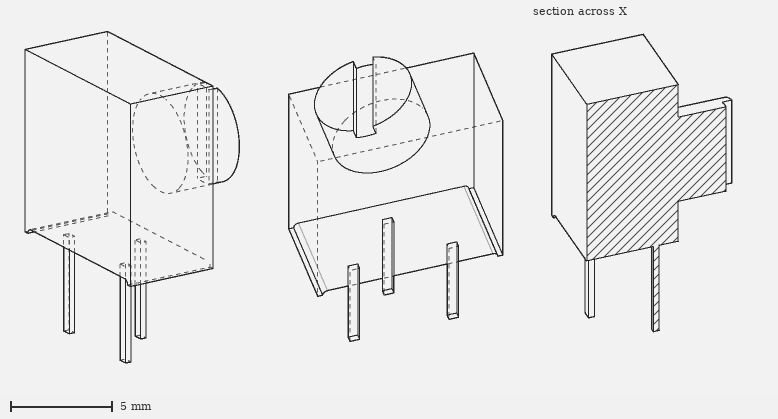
import cadquery as cq

body_side = 9.52
body_depth = 4.83
foot_width = 0.26
foot_fillet_diameter = 0.5
foot_fillet_radius = foot_fillet_diameter / 2
foot_height = foot_fillet_radius

total_depth = 7.85
knob_diameter = 5.0
knob_rise = 0.35
knob_length = total_depth - body_depth
knob_height = body_side / 2 + knob_rise
slot_width = 1.0
slot_depth = 0.5

total_height = 14.3
pin_width = 0.5
pin_thickness = 0.31
pin_pitch = 2.55
pin_bottom = body_side - total_height
row_spacing = 2.53
row_offset = row_spacing / 2
pin_positions = [
    (-pin_pitch, -row_offset),
    (0, row_offset),
    (pin_pitch, -row_offset),
]


def make_body():
    """Block centred on the Z axis, with a shallow channel along Y between the feet."""
    block = cq.Workplane("XY").box(body_side, body_depth, body_side, centered=(True, True, False))
    channel_width = body_side - 2 * foot_width
    channel = (
        cq.Workplane("XY")
        .box(channel_width, body_depth, 2 * foot_height)
        .edges("|Y and >Z")
        .fillet(foot_fillet_radius)
    )
    return block.cut(channel)


def make_knob():
    """Round knob with a screwdriver slot running along Z across its end."""
    knob = (
        cq.Workplane("XZ", origin=(0, body_depth / 2, knob_height))
        .circle(knob_diameter / 2)
        .extrude(-knob_length)
    )
    knob_end = body_depth / 2 + knob_length
    slot = cq.Workplane("XY").box(slot_width, 2 * slot_depth, knob_diameter)
    return knob.cut(slot.translate((0, knob_end, knob_height)))


def make_pins():
    """Rectangular pins from the channel roof down to the lowest level."""
    return (
        cq.Workplane("XY", origin=(0, 0, pin_bottom))
        .pushPoints(pin_positions)
        .rect(pin_width, pin_thickness)
        .extrude(foot_height - pin_bottom)
    )


result = make_body().union(make_knob()).union(make_pins())